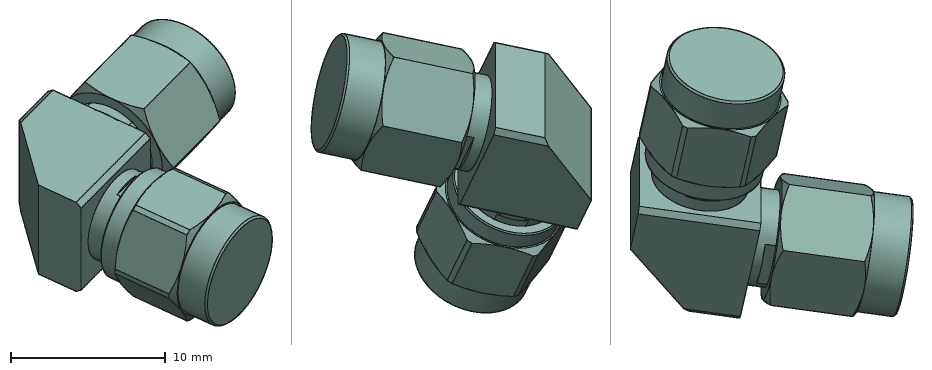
import math
import cadquery as cq


BLOCK_SIDE = 8.0
BLOCK_HEIGHT = 7.88
BEVEL_LEG = 4.65
EDGE_CHAMFER_X = 0.39
EDGE_CHAMFER_Z = 0.32

NECK_RADIUS = 3.19
NECK_INSERTION = 1.85
NUT_START = 5.4
NECK_END = NUT_START + NECK_INSERTION
X_FLAT_START = 4.84
X_FLAT_HEIGHT = 3.0
Y_FLAT_START = 4.7
Y_FLAT_HEIGHT = 2.75

ACROSS_FLATS = 8.0
ACROSS_CORNERS = ACROSS_FLATS / math.cos(math.radians(30))
HEX_CHAMFER_ANGLE = 30
HEX_FACE_RADIUS = 3.99
RIM_CHAMFER = 0.13

X_NUT_END = 13.7
X_HEX_START = 6.7
X_HEX_END = 11.5
X_SLEEVE_RADIUS = 3.87
X_CORNER_RADIUS = 4.5
X_REAR_CHAMFER = 0.1

Y_NUT_END = 14.03
Y_HEX_END = 11.48
Y_SLEEVE_RADIUS = 3.93
Y_CORNER_RADIUS = ACROSS_CORNERS / 2


def arm_cylinder(radius, start, end):
    """Cylinder around the arm axis, which is Z while a part is being built."""
    return cq.Workplane("XY").workplane(offset=start).circle(radius).extrude(end - start)


def along_x(shape):
    """Turn a part built along Z so that it points along +X, its local X becoming -Z."""
    return shape.rotate((0, 0, 0), (0, 1, 0), 90)


def along_y(shape):
    """Turn a part built along Z so that it points along +Y, its local Y becoming -Z."""
    return shape.rotate((0, 0, 0), (1, 0, 0), -90)


def make_block():
    half = BLOCK_SIDE / 2
    half_height = BLOCK_HEIGHT / 2
    section = (
        cq.Workplane("XZ", origin=(0, half, 0))
        .polyline([
            (-half, -half_height + EDGE_CHAMFER_Z),
            (-half + EDGE_CHAMFER_X, -half_height),
            (half - EDGE_CHAMFER_X, -half_height),
            (half, -half_height + EDGE_CHAMFER_Z),
            (half, half_height - EDGE_CHAMFER_Z),
            (half - EDGE_CHAMFER_X, half_height),
            (-half + EDGE_CHAMFER_X, half_height),
            (-half, half_height - EDGE_CHAMFER_Z),
        ])
        .close()
        .extrude(BLOCK_SIDE)
    )
    corner_bevel = (
        cq.Workplane("XY", origin=(0, 0, -half_height))
        .polyline([(-half, -half), (-half + BEVEL_LEG, -half), (-half, -half + BEVEL_LEG)])
        .close()
        .extrude(BLOCK_HEIGHT)
    )
    return section.cut(corner_bevel)


def make_neck_x():
    """Neck with a pair of flats facing +Z and -Z once it points along +X."""
    neck = arm_cylinder(NECK_RADIUS, 0, X_FLAT_START)
    flatted = arm_cylinder(NECK_RADIUS, X_FLAT_START, NECK_END).intersect(
        cq.Workplane("XY").box(2 * X_FLAT_HEIGHT, 2 * NECK_RADIUS, 2 * NECK_END)
    )
    return along_x(neck.union(flatted))


def make_neck_y():
    """Neck with a pair of flats facing +Z and -Z once it points along +Y."""
    neck = arm_cylinder(NECK_RADIUS, 0, Y_FLAT_START)
    flatted = arm_cylinder(NECK_RADIUS, Y_FLAT_START, NECK_END).intersect(
        cq.Workplane("XY").box(2 * NECK_RADIUS, 2 * Y_FLAT_HEIGHT, 2 * NECK_END)
    )
    return along_y(neck.union(flatted))


def make_elbow():
    return make_block().union(make_neck_x()).union(make_neck_y())


def make_hex(start, end, corner_radius, turn):
    """Hexagonal prism with turned corners and a conical chamfer at both ends."""
    prism = (
        cq.Workplane("XY")
        .workplane(offset=start)
        .transformed(rotate=(0, 0, turn))
        .polygon(6, ACROSS_CORNERS)
        .extrude(end - start)
    )
    chamfer_length = (corner_radius - HEX_FACE_RADIUS) * math.tan(math.radians(HEX_CHAMFER_ANGLE))
    turned_envelope = (
        cq.Workplane("XZ")
        .polyline([
            (0, start),
            (HEX_FACE_RADIUS, start),
            (corner_radius, start + chamfer_length),
            (corner_radius, end - chamfer_length),
            (HEX_FACE_RADIUS, end),
            (0, end),
        ])
        .close()
        .revolve(360, (0, 0, 0), (0, 1, 0))
    )
    return prism.intersect(turned_envelope)


def neck_socket():
    return arm_cylinder(NECK_RADIUS, NUT_START, NECK_END)


def make_nut_x():
    """Nut with a round collar behind the hex and a round sleeve in front of it."""
    sleeve = (
        arm_cylinder(X_SLEEVE_RADIUS, NUT_START, X_NUT_END)
        .faces("<Z").chamfer(X_REAR_CHAMFER)
        .faces(">Z").chamfer(RIM_CHAMFER)
    )
    hexagon = make_hex(X_HEX_START, X_HEX_END, X_CORNER_RADIUS, turn=30)
    return along_x(sleeve.union(hexagon).cut(neck_socket()))


def make_nut_y():
    """Nut whose hex starts at the rear face, with a round sleeve in front of it."""
    sleeve = arm_cylinder(Y_SLEEVE_RADIUS, NUT_START, Y_NUT_END).faces(">Z").chamfer(RIM_CHAMFER)
    hexagon = make_hex(NUT_START, Y_HEX_END, Y_CORNER_RADIUS, turn=0)
    return along_y(sleeve.union(hexagon).cut(neck_socket()))


elbow = make_elbow()
nut_x = make_nut_x()
nut_y = make_nut_y()

result = cq.Compound.makeCompound([elbow.val(), nut_x.val(), nut_y.val()])